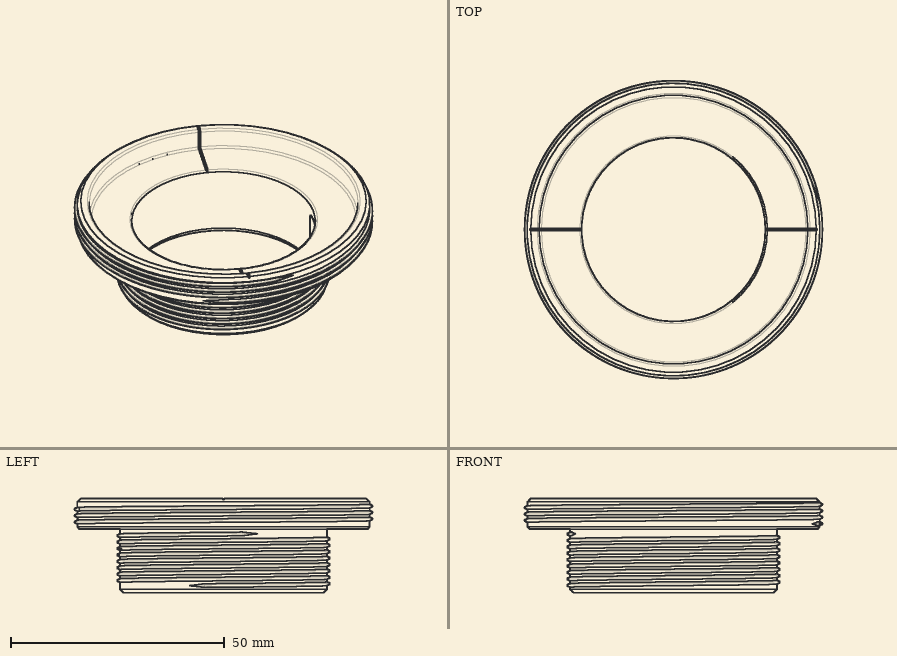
import cadquery as cq
import math


outer_diameter = 69.7
total_height = 22.1
flange_height = 7.2
flange_core_radius = 68.5 / 2
neck_core_radius = 48.5 / 2
bore_radius = 21.5

recess_radius = 31.45
recess_depth = 5.0

flange_top_chamfer = 0.85
flange_bottom_chamfer = 0.5
neck_bottom_chamfer = 0.85
bore_chamfer_width = 0.5
bore_chamfer_height = 1.0
inner_fillet = 0.5

neck_thread_turns = 8
neck_thread_top = -8.4
neck_thread_bottom = -20.35
neck_thread_angle = 180.0
flange_thread_turns = 3
flange_thread_bottom = -5.9
flange_thread_angle = 0.0

thread_pitch = (neck_thread_top - neck_thread_bottom) / neck_thread_turns
thread_height = outer_diameter / 2 - flange_core_radius
thread_root_width = 0.9
thread_flank_angle = 25.0
thread_embed = 0.2
thread_tip_embed = 0.1
thread_overlap = 21.0
thread_runout = 11.0

groove_width = 0.55

label_width = 7.1
label_height = 12.0
label_center_z = -14.1
label_corner_radius = 1.0
label_depth = 0.1


def make_body():
    """Revolve the flange and neck together with the recess and the bore."""
    floor_z = -recess_depth
    outline = (
        cq.Workplane("XZ")
        .moveTo(flange_core_radius - flange_top_chamfer, 0)
        .line(flange_top_chamfer, -flange_top_chamfer)
        .lineTo(flange_core_radius, flange_bottom_chamfer - flange_height)
        .line(-flange_bottom_chamfer, -flange_bottom_chamfer)
        .lineTo(neck_core_radius, -flange_height)
        .lineTo(neck_core_radius, neck_bottom_chamfer - total_height)
        .line(-neck_bottom_chamfer, -neck_bottom_chamfer)
        .lineTo(bore_radius + bore_chamfer_width, -total_height)
        .line(-bore_chamfer_width, bore_chamfer_height)
        .lineTo(bore_radius, floor_z - inner_fillet)
        .tangentArcPoint((inner_fillet, inner_fillet))
        .lineTo(recess_radius - inner_fillet, floor_z)
        .tangentArcPoint((inner_fillet, inner_fillet))
        .lineTo(recess_radius, -inner_fillet)
        .tangentArcPoint((inner_fillet, inner_fillet))
        .close()
    )
    return outline.revolve(360, (0, 0, 0), (0, 1, 0))


def make_thread_section(core_radius):
    """Thread ridge section in the XZ plane: straight flanks and a rounded crest."""
    flank = math.radians(thread_flank_angle)
    sharp_height = thread_root_width / 2 / math.tan(flank)
    crest_rounding = (sharp_height - thread_height) / (1 / math.sin(flank) - 1)
    crest_radius = core_radius + thread_height

    tangent_half = crest_rounding * math.cos(flank)
    tangent_radius = crest_radius - crest_rounding * (1 - math.sin(flank))

    root_half = thread_root_width / 2 + thread_embed * math.tan(flank)
    root_radius = core_radius - thread_embed

    return (
        cq.Workplane("XZ")
        .moveTo(root_radius, -root_half)
        .lineTo(tangent_radius, -tangent_half)
        .threePointArc((crest_radius, 0), (tangent_radius, tangent_half))
        .lineTo(root_radius, root_half)
        .close()
    )


def make_thread(core_radius, turns, bottom, center_angle):
    """Right-hand thread ridge that fades to a point at each end.

    Both ends overlap around center_angle, where the lowest turn is at z = bottom.
    """
    sweep_angle = 360 * turns + thread_overlap
    start_angle = center_angle - thread_overlap / 2
    start_z = bottom - thread_pitch * thread_overlap / 2 / 360
    rise = thread_pitch * sweep_angle / 360

    section = make_thread_section(core_radius)
    helix = cq.Wire.makeHelix(thread_pitch, rise, core_radius)
    thread = section.sweep(cq.Workplane(helix), isFrenet=True)

    tip_radius = core_radius - thread_tip_embed
    tip_turn = math.radians(thread_runout)
    tip_rise = thread_pitch * thread_runout / 360
    section_wire = section.wires().val()
    for end_angle, end_z, direction in ((0, 0, -1), (sweep_angle, rise, 1)):
        tip_point = cq.Vertex.makeVertex(
            tip_radius * math.cos(tip_turn),
            direction * tip_radius * math.sin(tip_turn),
            direction * tip_rise,
        )
        tip = cq.Workplane(cq.occ_impl.shapes.loft(section_wire, tip_point, cap=True, ruled=True))
        thread = thread.union(tip.rotate((0, 0, 0), (0, 0, 1), end_angle).translate((0, 0, end_z)))

    return thread.rotate((0, 0, 0), (0, 0, 1), start_angle).translate((0, 0, start_z))


def make_grooves():
    """Square bars on edge that cut the V grooves in rim, recess floor and recess wall."""
    side = groove_width / math.sqrt(2)

    def cross_bar(length, z):
        bar = cq.Workplane("YZ").rect(side, side).extrude(length / 2, both=True)
        return bar.rotate((0, 0, 0), (1, 0, 0), 45).translate((0, 0, z))

    cutter = cross_bar(2 * flange_core_radius, 0).union(cross_bar(2 * recess_radius, -recess_depth))
    for x in (-recess_radius, recess_radius):
        post = cq.Workplane("XY").rect(side, side).extrude(-recess_depth)
        cutter = cutter.union(post.rotate((0, 0, 0), (0, 0, 1), 45).translate((x, 0, 0)))
    return cutter


def make_label_panel():
    """Curved rounded-rectangle plate just outside the bore."""
    window = (
        cq.Workplane("XZ")
        .center(0, label_center_z)
        .rect(label_width, label_height)
        .extrude(-neck_core_radius)
        .edges("|Y")
        .fillet(label_corner_radius)
    )
    panel = cq.Workplane("XY").circle(bore_radius + label_depth).extrude(-total_height)
    return panel.intersect(window)


flange_thread = make_thread(
    flange_core_radius, flange_thread_turns, flange_thread_bottom, flange_thread_angle
)
neck_thread = make_thread(
    neck_core_radius, neck_thread_turns, neck_thread_bottom, neck_thread_angle
)

result = make_body().union(flange_thread).union(neck_thread)
result = result.cut(make_grooves()).cut(make_label_panel())